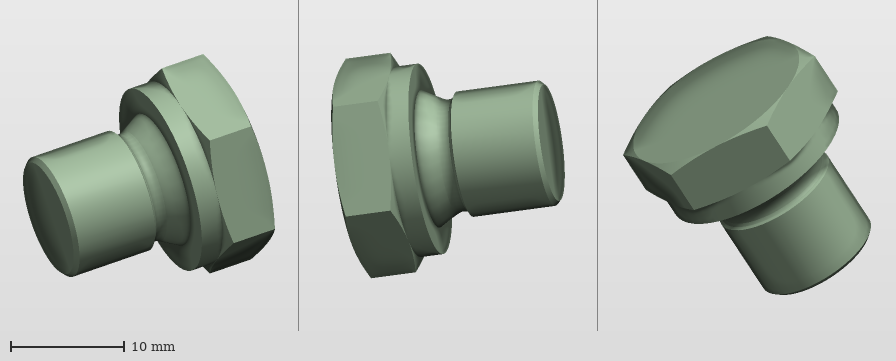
import cadquery as cq
import math

across_corners = 19.63
across_flats = across_corners * math.cos(math.radians(30))
head_height = 5.0
corner_chamfer_angle = 20.0

total_length = 18.0
collar_height = 2.0
cone_length = 1.83
cone_base_radius = 6.15
cone_tip_radius = 5.12
neck_radius = 5.0
neck_length = 1.0
shoulder_start_radius = 5.1
shoulder_middle_radius = 5.32
shoulder_first_length = 0.22
shoulder_second_length = 0.14
plug_radius = 5.6
tip_chamfer = 0.4


def revolve_about_y(profile):
    """Revolve a closed XY outline, with X as radius, about the Y axis."""
    return profile.close().revolve(360, (0, 0, 0), (0, 1, 0))


def hex_head():
    """Hexagonal prism with its corners turned off at both ends."""
    prism = cq.Workplane("XZ").polygon(6, across_corners).extrude(head_height)
    flat_radius = across_flats / 2
    corner_radius = across_corners / 2
    drop = (corner_radius - flat_radius) * math.tan(math.radians(corner_chamfer_angle))
    envelope = revolve_about_y(
        cq.Workplane("XY")
        .moveTo(0, 0)
        .lineTo(flat_radius, 0)
        .lineTo(corner_radius, -drop)
        .lineTo(corner_radius, drop - head_height)
        .lineTo(flat_radius, -head_height)
        .lineTo(0, -head_height)
    )
    return prism.intersect(envelope)


def shank():
    """Collar, cone, concave neck, two-step shoulder and chamfered plug."""
    collar_end = head_height + collar_height
    cone_end = collar_end + cone_length
    neck_end = cone_end + neck_length
    shoulder_middle = neck_end + shoulder_first_length
    plug_start = shoulder_middle + shoulder_second_length
    return revolve_about_y(
        cq.Workplane("XY")
        .moveTo(0, -head_height)
        .lineTo(across_flats / 2, -head_height)
        .lineTo(across_flats / 2, -collar_end)
        .lineTo(cone_base_radius, -collar_end)
        .lineTo(cone_tip_radius, -cone_end)
        .threePointArc(
            (neck_radius, -(cone_end + neck_end) / 2),
            (shoulder_start_radius, -neck_end),
        )
        .lineTo(shoulder_middle_radius, -shoulder_middle)
        .lineTo(plug_radius, -plug_start)
        .lineTo(plug_radius, tip_chamfer - total_length)
        .lineTo(plug_radius - tip_chamfer, -total_length)
        .lineTo(0, -total_length)
    )


result = hex_head().union(shank())